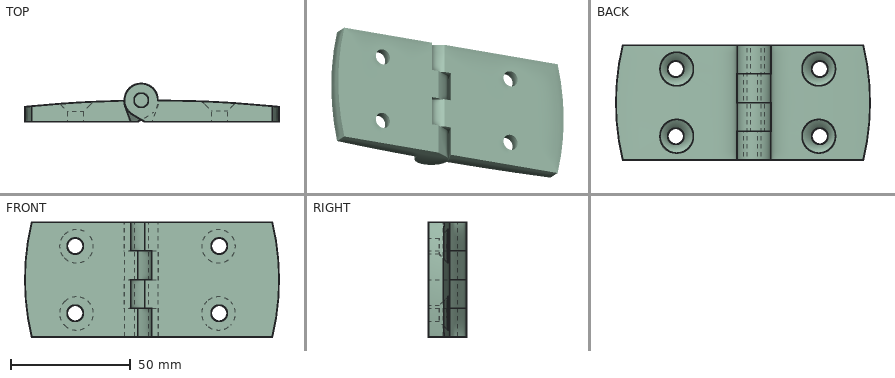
import cadquery as cq
import math


length = 105.98
height = 48.0
thickness = 9.0
crown_radius = 520.0
corner_setback = 2.85
bottom_y = -thickness
block_margin = 1.0
half_length = length / 2
half_height = height / 2

pin_x = -4.5
pin_diameter = 6.0
knuckle_radius = 7.0
knuckle_count = 4
knuckle_length = height / knuckle_count
knuckle_slope = 30.7
clearance_radius = 7.2
relief_slope = 70.0

hole_diameter = 6.6
countersink_diameter = 14.0
countersink_angle = 90.0
hole_center_x = -2.0
hole_spacing_x = 60.0
hole_spacing_z = 28.0


def prism(sketch, z_bottom, z_height):
    """Extrude a closed XY outline upwards from z_bottom."""
    return sketch.extrude(z_height).translate((0, 0, z_bottom))


def crown_level(x):
    """Y of the crowned face at a given X."""
    return math.sqrt(crown_radius**2 - x**2) - crown_radius


def crown_crossing(side, radius):
    """Point where a circle round the pin meets the crowned face, on the given side."""
    center_distance = math.hypot(pin_x, crown_radius)
    along = (radius**2 - crown_radius**2 + center_distance**2) / (2 * center_distance)
    across = side * math.sqrt(radius**2 - along**2)
    toward_x = -pin_x / center_distance
    toward_y = -crown_radius / center_distance
    return pin_x + along * toward_x - across * toward_y, along * toward_y + across * toward_x


def make_trimming_block():
    """Block that trims the leaves to the rounded -X and +X ends; deep enough to take in the knuckles."""
    corner_x = half_length - corner_setback
    return (
        cq.Workplane("XZ", origin=(0, knuckle_radius + block_margin, 0))
        .moveTo(-corner_x, -half_height)
        .lineTo(corner_x, -half_height)
        .threePointArc((half_length, 0), (corner_x, half_height))
        .lineTo(-corner_x, half_height)
        .threePointArc((-half_length, 0), (-corner_x, -half_height))
        .close()
        .extrude(thickness + knuckle_radius + 2 * block_margin)
    )


def tangent_flat(radius, slope, touch_side):
    """Tangent point on a circle round the pin, and where its tangent meets the bottom face.

    Both are measured from the pin, towards the leaf's side. touch_side is 1 when the tangent
    point lies on the leaf's side of the pin and -1 when it lies beyond the pin.
    """
    angle = math.radians(slope)
    touch_x = touch_side * radius * math.sin(angle)
    touch_y = -radius * math.cos(angle)
    foot_x = touch_x - touch_side * (touch_y - bottom_y) / math.tan(angle)
    return (touch_x, touch_y), (foot_x, bottom_y)


def leaf_outline(side, radius, touch, foot, arc_middle):
    """Outline from the leaf's foot, round the pin and along the crown past the plate's end.

    touch, foot and arc_middle are measured from the pin, towards the leaf's side.
    """
    touch, foot, arc_middle = [(pin_x + side * x, y) for x, y in (touch, foot, arc_middle)]
    crown_start = crown_crossing(side, radius)
    crown_end_x = side * (half_length + block_margin)
    crown_middle_x = (crown_start[0] + crown_end_x) / 2
    return (
        cq.Workplane("XY")
        .moveTo(*foot)
        .lineTo(*touch)
        .threePointArc(arc_middle, crown_start)
        .threePointArc((crown_middle_x, crown_level(crown_middle_x)), (crown_end_x, crown_level(crown_end_x)))
        .lineTo(crown_end_x, bottom_y)
        .close()
    )


def knuckle_outline(side):
    """Leaf running into its own knuckle, with a flat underside tangent to the knuckle."""
    touch, foot = tangent_flat(knuckle_radius, knuckle_slope, -1)
    return leaf_outline(side, knuckle_radius, touch, foot, (0, knuckle_radius))


def relief_outline(side):
    """Leaf ending in a hollow that clears the other leaf's knuckle."""
    touch, foot = tangent_flat(clearance_radius, relief_slope, 1)
    middle_angle = math.radians((90 - relief_slope) / 2)
    arc_middle = (clearance_radius * math.cos(middle_angle), -clearance_radius * math.sin(middle_angle))
    return leaf_outline(side, clearance_radius, touch, foot, arc_middle)


def screw_holes(side):
    """Pair of countersunk holes of one leaf, opening on the crowned face."""
    x = hole_center_x + side * hole_spacing_x / 2
    sink_radius = countersink_diameter / 2
    sink_depth = sink_radius / math.tan(math.radians(countersink_angle / 2))
    cone_radius = sink_radius + block_margin
    cone_height = sink_depth * cone_radius / sink_radius
    along_y = cq.Vector(0, 1, 0)
    tools = cq.Workplane("XY")
    for z in (-hole_spacing_z / 2, hole_spacing_z / 2):
        tip = cq.Vector(x, crown_level(x) - sink_depth, z)
        bore = cq.Solid.makeCylinder(hole_diameter / 2, thickness, cq.Vector(x, bottom_y, z), along_y)
        cone = cq.Solid.makeCone(0, cone_radius, cone_height, tip, along_y)
        tools = tools.add(bore).add(cone)
    return tools.combine()


def make_pin():
    """Pin running the full height through all knuckles."""
    return prism(cq.Workplane("XY").center(pin_x, 0).circle(pin_diameter / 2), -half_height, height)


def make_leaf(side, first_knuckle):
    """Leaf on the given X side of the pin; it owns every second knuckle from first_knuckle up."""
    leaf = cq.Workplane("XY")
    for index in range(knuckle_count):
        owns_knuckle = index % 2 == first_knuckle
        outline = knuckle_outline(side) if owns_knuckle else relief_outline(side)
        z_bottom = -half_height + index * knuckle_length
        leaf = leaf.union(prism(outline, z_bottom, knuckle_length))
    return leaf.intersect(make_trimming_block()).cut(make_pin()).cut(screw_holes(side))


left_leaf = make_leaf(side=-1, first_knuckle=0)
right_leaf = make_leaf(side=1, first_knuckle=1)
pin = make_pin()

bodies = [left_leaf, right_leaf, pin]
result = cq.Compound.makeCompound([solid for body in bodies for solid in body.solids().vals()])